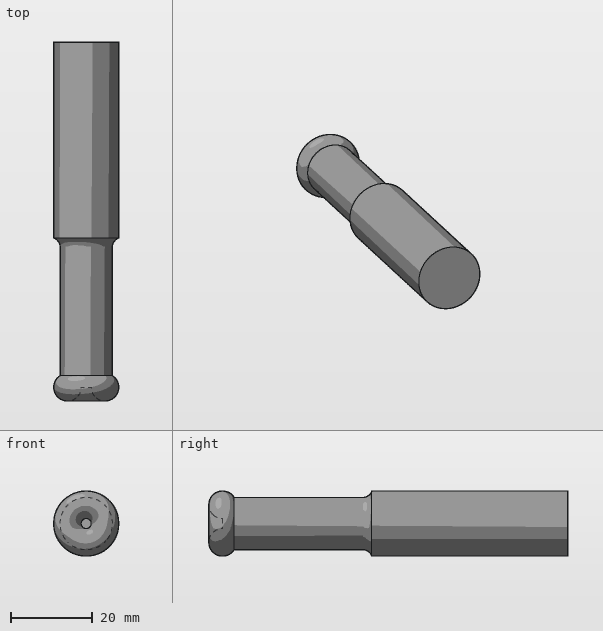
import cadquery as cq
import math

length = 88.0
body_radius = 8.0
neck_radius = 6.4

dimple_radius = 1.2
bead_section_radius = (body_radius - dimple_radius) / 2
bead_ring_radius = body_radius - bead_section_radius
bead_mid = bead_section_radius

bead_end = bead_mid + math.sqrt(bead_section_radius**2 - (neck_radius - bead_ring_radius) ** 2)

shoulder_start = 37.8
shoulder_end = 39.95
shoulder_arc_radius = 2.3

result = (
    cq.Workplane("XY")
    .moveTo(0, bead_mid)
    .lineTo(dimple_radius, bead_mid)
    .threePointArc((bead_ring_radius, 0), (neck_radius, bead_end))
    .lineTo(neck_radius, shoulder_start)
    .radiusArc((body_radius, shoulder_end), shoulder_arc_radius)
    .lineTo(body_radius, length)
    .lineTo(0, length)
    .close()
    .revolve(360, (0, 0), (0, 1))
)